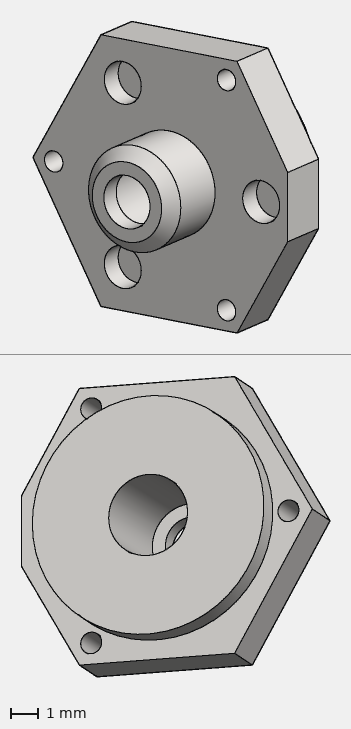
import cadquery as cq
import math

plate_width = 10.22
plate_thickness = 2.0
corner_radius = plate_width / math.sqrt(3)
overall_length = 11.05
flat_distance = overall_length - corner_radius

overall_depth = 5.7
shoulder_diameter = 8.8
shoulder_thickness = 1
hub_diameter = 4.0
hub_length = overall_depth - plate_thickness - shoulder_thickness
hub_chamfer = 0.5
bore_diameter = 2.0
bore_length = 0.8
rear_bore_diameter = 3.0

through_hole_diameter = 0.8
through_hole_radius = 5.0
blind_hole_diameter = 1.6
blind_hole_radius = 4.0
blind_hole_depth = 0.9


def cylinder(diameter, start, length):
    """Cylinder on the axis, from Y = start toward +Y."""
    return cq.Workplane("XZ", origin=(0, start, 0)).circle(diameter / 2).extrude(-length)


def hole_ring(diameter, ring_radius, first_angle, depth):
    """Three equally spaced cutters going into the front face of the plate (Y = 0)."""
    return (
        cq.Workplane("XZ")
        .polarArray(ring_radius, first_angle, 360, 3)
        .circle(diameter / 2)
        .extrude(-depth)
    )


plate = cq.Workplane("XZ").polygon(6, 2 * corner_radius).extrude(-plate_thickness)
corner_cut = cq.Workplane("XY").box(
    corner_radius, plate_thickness, plate_width, centered=(False, False, True)
).translate((flat_distance, 0, 0))
plate = plate.cut(corner_cut)

shoulder = cylinder(shoulder_diameter, plate_thickness, shoulder_thickness)
hub = cylinder(hub_diameter, -hub_length, hub_length).faces("<Y").chamfer(hub_chamfer)
body = plate.union(shoulder).union(hub)

bore = cylinder(bore_diameter, -hub_length, overall_depth)
rear_bore = cylinder(rear_bore_diameter, bore_length - hub_length, overall_depth - bore_length)
through_holes = hole_ring(through_hole_diameter, through_hole_radius, 60, plate_thickness)
blind_holes = hole_ring(blind_hole_diameter, blind_hole_radius, 0, blind_hole_depth)

result = body.cut(bore).cut(rear_bore).cut(through_holes).cut(blind_holes)